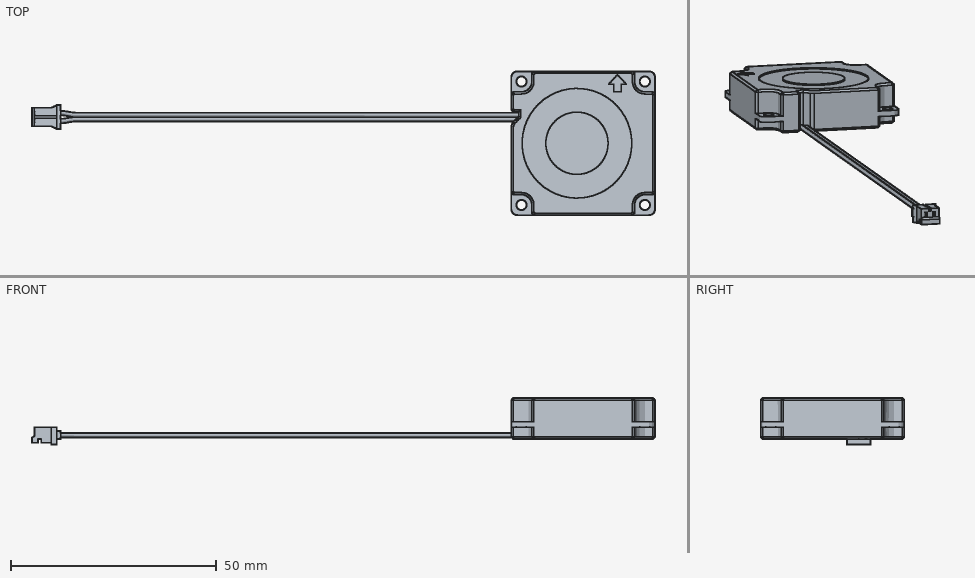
import cadquery as cq

TOTAL_LENGTH = 151.4

FAN_SIDE = 35.0
FAN_HEIGHT = 10.0
EDGE_CHAMFER = 0.53
CORNER_POCKET = 5.0
POCKET_RADIUS = CORNER_POCKET / 2
TAB_BOTTOM = 2.9
TAB_THICKNESS = 1.4
TAB_RADIUS = 1.5
SCREW_PITCH = FAN_SIDE - CORNER_POCKET
SCREW_DIAMETER = 2.4
RING_CENTRE_X = -1.5
RING_OUTER_RADIUS = 13.3
RING_INNER_RADIUS = 7.5
RING_DEPTH = 0.3

ARROW_X = 8.3
ARROW_TIP_Y = 16.6
ARROW_HEAD_LENGTH = 2.3
ARROW_HEAD_HALF_WIDTH = 2.1
ARROW_SHAFT_LENGTH = 1.8
ARROW_SHAFT_HALF_WIDTH = 0.9
ARROW_DEPTH = 0.3

CABLE_Y = 6.4
WIRE_DIAMETER = 1.14
WIRE_Z = 0.9
WIRE_PITCH = 2.0
WIRE_CLOSE_PITCH = 1.0
SPREAD_LENGTH = 3.8

SLOT_DEPTH = 1.8
SLOT_TOP_Y = 7.5
SLOT_WALL_END_Y = 6.5

PLUG_WIDTH = 4.5
PLUG_TOP = 2.9
PLUG_BOTTOM = -0.9
NOSE_STEP = 0.6
NOSE_BOTTOM_Z = 0.3
NOSE_TOP_Z = 0.8
PLUG_LENGTH = 6.0
COLLAR_START = 4.7
COLLAR_WIDTH = 5.8
COLLAR_BOTTOM = -1.4
FLANGE_WIDTH = 5.9
FLANGE_BOTTOM = 0.0
FLANGE_HEIGHT = 2.0
FLANGE_THICKNESS = 0.9
GROOVE_WIDTH = 0.6
GROOVE_DEPTH = 0.6
CONTACT_SLOT_WIDTH = 0.6
CONTACT_SLOT_TOP = 2.0
CONTACT_SLOT_DEPTH = 1.5
NOTCH_START = 1.5
NOTCH_WIDTH = 0.8
NOTCH_HEIGHT = 0.9

HALF_SIDE = FAN_SIDE / 2
NOSE_X = HALF_SIDE - TOTAL_LENGTH
PLUG_REAR_X = NOSE_X + PLUG_LENGTH
FLANGE_REAR_X = PLUG_REAR_X + FLANGE_THICKNESS
SLOT_WALL_X = SLOT_DEPTH - HALF_SIDE
CORNERS = [(sx, sy) for sx in (-1, 1) for sy in (-1, 1)]


def block(x_range, y_range, z_range):
    """Box between the given limits along each axis."""
    lows, highs = zip(x_range, y_range, z_range)
    size = [high - low for low, high in zip(lows, highs)]
    return cq.Workplane("XY").box(*size, centered=False).translate(lows)


def across(centre, width):
    """Limits of a span of the given width about a centre."""
    return centre - width / 2, centre + width / 2


def fan_core():
    """Square block with corner pockets and the cable slot, all outer edges broken."""
    core = cq.Workplane("XY").rect(FAN_SIDE, FAN_SIDE).extrude(FAN_HEIGHT)
    for sx, sy in CORNERS:
        pocket = (
            cq.Workplane("XY")
            .center(sx * HALF_SIDE, sy * HALF_SIDE)
            .rect(2 * CORNER_POCKET, 2 * CORNER_POCKET)
            .extrude(FAN_HEIGHT)
            .edges("|Z")
            .fillet(POCKET_RADIUS)
        )
        core = core.cut(pocket)
    core = core.cut(cable_slot())
    side_corners = core.faces("<X or >X or <Y or >Y").edges("|Z")
    return side_corners.chamfer(EDGE_CHAMFER).faces("<Z or >Z").chamfer(EDGE_CHAMFER)


def screw_tabs():
    """Tab with a screw hole in each corner pocket, cut from one rounded square plate."""
    level = cq.Workplane("XY", origin=(0, 0, TAB_BOTTOM))
    plate = level.rect(FAN_SIDE, FAN_SIDE).extrude(TAB_THICKNESS).edges("|Z").fillet(TAB_RADIUS)
    corner_squares = level.rect(SCREW_PITCH, SCREW_PITCH, forConstruction=True).vertices()
    tab_side = CORNER_POCKET + 2 * EDGE_CHAMFER
    tabs = plate.intersect(corner_squares.rect(tab_side, tab_side).extrude(TAB_THICKNESS))
    return tabs.cut(corner_squares.circle(SCREW_DIAMETER / 2).extrude(TAB_THICKNESS))


def top_ring():
    """Shallow ring sunk into the top face."""
    return (
        cq.Workplane("XY", origin=(RING_CENTRE_X, 0, FAN_HEIGHT - RING_DEPTH))
        .circle(RING_OUTER_RADIUS)
        .circle(RING_INNER_RADIUS)
        .extrude(RING_DEPTH)
    )


def arrow_recess():
    """Shallow arrow: half of the outline, mirrored about its axis."""
    head_y = ARROW_TIP_Y - ARROW_HEAD_LENGTH
    tail_y = head_y - ARROW_SHAFT_LENGTH
    return (
        cq.Workplane("XY", origin=(ARROW_X, 0, FAN_HEIGHT - ARROW_DEPTH))
        .moveTo(0, ARROW_TIP_Y)
        .lineTo(ARROW_HEAD_HALF_WIDTH, head_y)
        .lineTo(ARROW_SHAFT_HALF_WIDTH, head_y)
        .lineTo(ARROW_SHAFT_HALF_WIDTH, tail_y)
        .lineTo(0, tail_y)
        .mirrorY()
        .extrude(ARROW_DEPTH)
    )


def cable_slot():
    """Full-height slot with one square wall and one wall slanted at 45 degrees."""
    return (
        cq.Workplane("XY")
        .moveTo(-HALF_SIDE, SLOT_TOP_Y)
        .lineTo(SLOT_WALL_X, SLOT_TOP_Y)
        .lineTo(SLOT_WALL_X, SLOT_WALL_END_Y)
        .lineTo(-HALF_SIDE, SLOT_WALL_END_Y - SLOT_DEPTH)
        .close()
        .extrude(FAN_HEIGHT)
    )


def fan_housing():
    housing = fan_core().union(screw_tabs())
    return housing.cut(top_ring()).cut(arrow_recess())


def plug_block():
    """Connector block with a stepped nose."""
    upper_front = NOSE_X + NOSE_STEP
    profile = [
        (NOSE_X, PLUG_BOTTOM),
        (NOSE_X, NOSE_BOTTOM_Z),
        (upper_front, NOSE_TOP_Z),
        (upper_front, PLUG_TOP),
        (PLUG_REAR_X, PLUG_TOP),
        (PLUG_REAR_X, PLUG_BOTTOM),
    ]
    return (
        cq.Workplane("XZ", origin=(0, CABLE_Y, 0))
        .polyline(profile)
        .close()
        .extrude(PLUG_WIDTH / 2, both=True)
    )


def collar():
    """Rear part of the connector, widening towards the cable and reaching below the block."""
    start_x = NOSE_X + COLLAR_START
    outline = [
        (start_x, CABLE_Y - PLUG_WIDTH / 2),
        (PLUG_REAR_X, CABLE_Y - COLLAR_WIDTH / 2),
        (PLUG_REAR_X, CABLE_Y + COLLAR_WIDTH / 2),
        (start_x, CABLE_Y + PLUG_WIDTH / 2),
    ]
    return (
        cq.Workplane("XY", origin=(0, 0, COLLAR_BOTTOM))
        .polyline(outline)
        .close()
        .extrude(PLUG_TOP - COLLAR_BOTTOM)
    )


def rear_flange():
    """Low, wide plate that the wires enter."""
    return block(
        (PLUG_REAR_X, FLANGE_REAR_X),
        across(CABLE_Y, FLANGE_WIDTH),
        (FLANGE_BOTTOM, FLANGE_BOTTOM + FLANGE_HEIGHT),
    )


def connector():
    shell = plug_block().union(collar()).union(rear_flange())
    top_groove = block(
        (NOSE_X, PLUG_REAR_X),
        across(CABLE_Y, GROOVE_WIDTH),
        (PLUG_TOP - GROOVE_DEPTH, PLUG_TOP),
    )
    notch_x = NOSE_X + NOTCH_START
    bottom_notch = block(
        (notch_x, notch_x + NOTCH_WIDTH),
        across(CABLE_Y, PLUG_WIDTH),
        (PLUG_BOTTOM, PLUG_BOTTOM + NOTCH_HEIGHT),
    )
    shell = shell.cut(top_groove).cut(bottom_notch)
    for side in (-1, 1):
        contact_slot = block(
            (NOSE_X, NOSE_X + CONTACT_SLOT_DEPTH),
            across(CABLE_Y + side * WIRE_PITCH / 2, CONTACT_SLOT_WIDTH),
            (NOSE_TOP_Z, CONTACT_SLOT_TOP),
        )
        shell = shell.cut(contact_slot)
    return shell


def wire(side):
    """One wire: an S-bend from the connector pitch to its neighbour, then straight to the fan."""
    straight_x = FLANGE_REAR_X + SPREAD_LENGTH
    straight_y = CABLE_Y + side * WIRE_CLOSE_PITCH / 2
    entry = cq.Vector(FLANGE_REAR_X, CABLE_Y + side * WIRE_PITCH / 2, WIRE_Z)
    bend_end = cq.Vector(straight_x, straight_y, WIRE_Z)
    along = cq.Vector(1, 0, 0)
    bend = cq.Edge.makeSpline([entry, bend_end], tangents=[along, along])
    bent = (
        cq.Workplane("YZ", origin=entry.toTuple())
        .circle(WIRE_DIAMETER / 2)
        .sweep(cq.Workplane(bend))
    )
    straight = (
        cq.Workplane("YZ", origin=bend_end.toTuple())
        .circle(WIRE_DIAMETER / 2)
        .extrude(SLOT_WALL_X - straight_x)
    )
    return bent.union(straight)


def cable_assembly(housing):
    """Connector with its wires, which end against the walls of the housing slot."""
    assembly = connector()
    for side in (-1, 1):
        assembly = assembly.union(wire(side))
    return assembly.cut(housing)


fan = fan_housing()
cable = cable_assembly(fan)
result = cq.Compound.makeCompound([fan.solids().val(), cable.solids().val()])